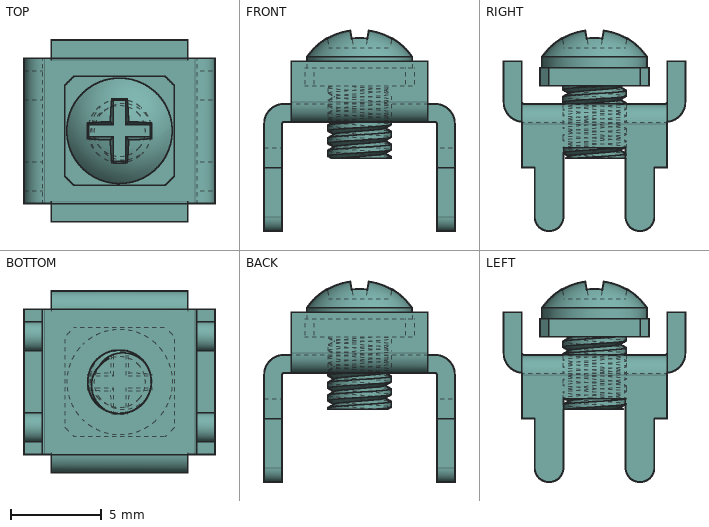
import cadquery as cq
import math

SHEET = 1.0
BEND_INNER = 0.1
BEND_OUTER = BEND_INNER + SHEET
BRACKET_WIDTH = 10.5
PLATE_DEPTH = 8.0
PLATE_BOTTOM = 6.0
PLATE_TOP = PLATE_BOTTOM + SHEET
EAR_WIDTH = 7.52
EAR_TOP = 9.35
SHOULDER_HEIGHT = 3.5
ARCH_HEIGHT = 4.6
LEG_WIDTH = 1.6
LEG_SPACING = 5.0

THREAD_DIAMETER = 3.5
THREAD_PITCH = 0.7
GROOVE_WIDTH = 0.4
GROOVE_ANGLE = 60
GROOVE_START = 0.28
SCREW_TIP = 4.0
WASHER_BOTTOM = 7.99
WASHER_SIZE = 6.0
WASHER_THICKNESS = 1.0
WASHER_CHAMFER = 0.5
HEAD_DIAMETER = 5.8
HEAD_RIM = 0.6
DOME_RISE = 1.52
RECESS_DEPTH = 1.03
RECESS_LENGTH = 3.35
RECESS_WIDTH = 0.67
RECESS_TAPER = 10

SHANK_LENGTH = WASHER_BOTTOM - SCREW_TIP
HEAD_BOTTOM = WASHER_BOTTOM + WASHER_THICKNESS
RIM_TOP = HEAD_BOTTOM + HEAD_RIM
APEX = RIM_TOP + DOME_RISE
CLEARANCE = 0.11


def bend_middle(centre, radius, side, up):
    """Middle point of a quarter bend that faces the given side and up/down sense."""
    reach = radius * math.sqrt(0.5)
    return (centre[0] + side * reach, centre[1] + up * reach)


def make_channel():
    """Plate with a wall bent down along each X side, constant along Y."""
    outer = BRACKET_WIDTH / 2
    inner = outer - SHEET
    bend_x = outer - BEND_OUTER
    bend_z = PLATE_TOP - BEND_OUTER
    right = (bend_x, bend_z)
    left = (-bend_x, bend_z)
    return (
        cq.Workplane("XZ", origin=(0, PLATE_DEPTH / 2, 0))
        .moveTo(-outer, 0)
        .lineTo(-outer, bend_z)
        .threePointArc(bend_middle(left, BEND_OUTER, -1, 1), (-bend_x, PLATE_TOP))
        .lineTo(bend_x, PLATE_TOP)
        .threePointArc(bend_middle(right, BEND_OUTER, 1, 1), (outer, bend_z))
        .lineTo(outer, 0)
        .lineTo(inner, 0)
        .lineTo(inner, bend_z)
        .threePointArc(bend_middle(right, BEND_INNER, 1, 1), (bend_x, PLATE_BOTTOM))
        .lineTo(-bend_x, PLATE_BOTTOM)
        .threePointArc(bend_middle(left, BEND_INNER, -1, 1), (-inner, bend_z))
        .lineTo(-inner, 0)
        .close()
        .extrude(PLATE_DEPTH)
    )


def make_side_shape():
    """Shouldered wall outline with two round-ended legs, spanning the full width."""
    edge = PLATE_DEPTH / 2
    leg_outer = (LEG_SPACING + LEG_WIDTH) / 2
    leg_inner = (LEG_SPACING - LEG_WIDTH) / 2
    foot = LEG_WIDTH / 2
    return (
        cq.Workplane("YZ")
        .moveTo(-edge, PLATE_TOP)
        .lineTo(-edge, SHOULDER_HEIGHT)
        .lineTo(-leg_outer, SHOULDER_HEIGHT)
        .lineTo(-leg_outer, foot)
        .threePointArc((-LEG_SPACING / 2, 0), (-leg_inner, foot))
        .lineTo(-leg_inner, ARCH_HEIGHT)
        .lineTo(leg_inner, ARCH_HEIGHT)
        .lineTo(leg_inner, foot)
        .threePointArc((LEG_SPACING / 2, 0), (leg_outer, foot))
        .lineTo(leg_outer, SHOULDER_HEIGHT)
        .lineTo(edge, SHOULDER_HEIGHT)
        .lineTo(edge, PLATE_TOP)
        .close()
        .extrude(BRACKET_WIDTH / 2, both=True)
    )


def make_ear(side):
    """Flange bent up from the plate edge on the given Y side (-1 or 1)."""
    inner = side * PLATE_DEPTH / 2
    outer = inner + side * SHEET
    bend_y = outer - side * BEND_OUTER
    bend_z = PLATE_BOTTOM + BEND_OUTER
    centre = (bend_y, bend_z)
    return (
        cq.Workplane("YZ")
        .moveTo(0, PLATE_BOTTOM)
        .lineTo(bend_y, PLATE_BOTTOM)
        .threePointArc(bend_middle(centre, BEND_OUTER, side, -1), (outer, bend_z))
        .lineTo(outer, EAR_TOP)
        .lineTo(inner, EAR_TOP)
        .lineTo(inner, bend_z)
        .threePointArc(bend_middle(centre, BEND_INNER, side, -1), (bend_y, PLATE_TOP))
        .lineTo(0, PLATE_TOP)
        .close()
        .extrude(EAR_WIDTH / 2, both=True)
    )


def make_bracket():
    bracket = make_channel().intersect(make_side_shape())
    for side in (-1, 1):
        bracket = bracket.union(make_ear(side))
    screw_hole = (
        cq.Workplane("XY", origin=(0, 0, PLATE_BOTTOM))
        .circle(THREAD_DIAMETER / 2)
        .extrude(SHEET)
    )
    return bracket.cut(screw_hole)


def make_thread_groove():
    """Right-handed helical V groove, trimmed flush with the tip and the washer."""
    radius = THREAD_DIAMETER / 2
    flank_slope = math.tan(math.radians(GROOVE_ANGLE / 2))
    root_radius = radius - GROOVE_WIDTH / 2 / flank_slope
    mouth_radius = radius + CLEARANCE
    mouth_half = GROOVE_WIDTH / 2 + CLEARANCE * flank_slope
    start_z = SCREW_TIP + GROOVE_START - THREAD_PITCH
    turns = math.ceil((WASHER_BOTTOM - start_z) / THREAD_PITCH) + 1
    helix = cq.Wire.makeHelix(THREAD_PITCH, turns * THREAD_PITCH, radius)
    helix = helix.translate(cq.Vector(0, 0, start_z))
    groove = (
        cq.Workplane("XZ")
        .moveTo(root_radius, start_z)
        .lineTo(mouth_radius, start_z - mouth_half)
        .lineTo(mouth_radius, start_z + mouth_half)
        .close()
        .sweep(cq.Workplane(obj=helix), isFrenet=True)
    )
    shank_block = (
        cq.Workplane("XY", origin=(0, 0, SCREW_TIP))
        .rect(2 * THREAD_DIAMETER, 2 * THREAD_DIAMETER)
        .extrude(SHANK_LENGTH)
    )
    return groove.intersect(shank_block)


def make_threaded_shank():
    """Threaded rod; the cylinder's seam is turned away from the seam of the helix."""
    shank = (
        cq.Workplane("XY", origin=(0, 0, SCREW_TIP))
        .circle(THREAD_DIAMETER / 2)
        .extrude(SHANK_LENGTH)
        .rotate((0, 0, 0), (0, 0, 1), 180)
    )
    return shank.cut(make_thread_groove())


def make_washer():
    """Square washer with chamfered corners, one piece with the screw."""
    return (
        cq.Workplane("XY", origin=(0, 0, WASHER_BOTTOM))
        .rect(WASHER_SIZE, WASHER_SIZE)
        .extrude(WASHER_THICKNESS)
        .edges("|Z")
        .chamfer(WASHER_CHAMFER)
    )


def make_head():
    """Domed head: a short cylindrical rim under a spherical cap."""
    radius = HEAD_DIAMETER / 2
    dome_radius = (radius**2 + DOME_RISE**2) / (2 * DOME_RISE)
    half_angle = math.asin(radius / dome_radius) / 2
    dome_middle = (
        dome_radius * math.sin(half_angle),
        APEX - dome_radius * (1 - math.cos(half_angle)),
    )
    return (
        cq.Workplane("XZ")
        .moveTo(0, HEAD_BOTTOM)
        .lineTo(radius, HEAD_BOTTOM)
        .lineTo(radius, RIM_TOP)
        .threePointArc(dome_middle, (0, APEX))
        .close()
        .revolve(360, (0, 0, 0), (0, 1, 0))
    )


def make_cross_recess():
    """Cross-shaped driver recess: two crossed bars whose walls open out upward."""
    height = RECESS_DEPTH + CLEARANCE
    growth = 2 * height * math.tan(math.radians(RECESS_TAPER))
    bar = (
        cq.Workplane("XY", origin=(0, 0, APEX - RECESS_DEPTH))
        .rect(RECESS_LENGTH, RECESS_WIDTH)
        .workplane(offset=height)
        .rect(RECESS_LENGTH + growth, RECESS_WIDTH + growth)
        .loft(ruled=True)
    )
    return bar.union(bar.rotate((0, 0, 0), (0, 0, 1), 90))


def make_screw():
    head = make_head().cut(make_cross_recess())
    return make_threaded_shank().union(make_washer()).union(head)


bracket = make_bracket()
screw = make_screw()

result = cq.Compound.makeCompound([bracket.solids().val(), screw.solids().val()])